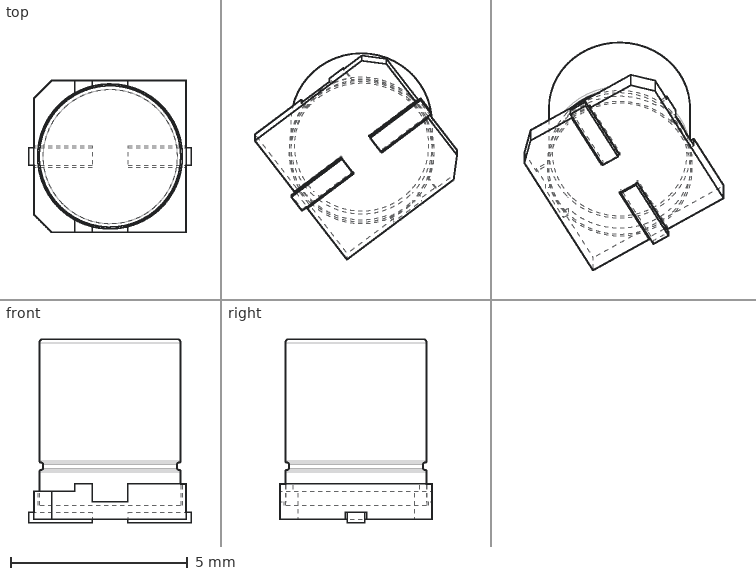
import cadquery as cq

base_side = 4.3
base_bottom = 0.1
base_top = 1.1
corner_chamfer = 0.5
low_ledge_top = 0.9
low_ledge_edge_x = -1.0
notch_width = 1.0
notch_floor = 0.6
seat_clearance = 0.05
seat_floor = 0.5

can_radius = 2.0
can_top = 5.2
top_round = 0.1
groove_round = 0.05
groove_mid_z = 1.6
groove_waist_height = 0.1

terminal_span = 4.6
terminal_gap = 1.0
terminal_width = 0.5
terminal_height = 0.3
terminal_clearance = 0.05


def box_between(x_range, y_range, z_range):
    """Axis-aligned box given by its (low, high) limits along each axis."""
    low, high = zip(x_range, y_range, z_range)
    size = [b - a for a, b in zip(low, high)]
    return cq.Workplane("XY").box(*size, centered=False).translate(low)


def make_base():
    """Square base with two cut corners, a low ledge, edge notches and a round seat for the can."""
    half = base_side / 2
    base = (
        cq.Workplane("XY")
        .workplane(offset=base_bottom)
        .rect(base_side, base_side)
        .extrude(base_top - base_bottom)
        .edges("|Z and <X")
        .chamfer(corner_chamfer)
    )
    ledge_space = box_between((-half, low_ledge_edge_x), (-half, half), (low_ledge_top, base_top))
    notch = box_between((-notch_width / 2, notch_width / 2), (-half, half), (notch_floor, base_top))
    seat = (
        cq.Workplane("XY")
        .workplane(offset=seat_floor)
        .circle(can_radius + seat_clearance)
        .extrude(base_top - seat_floor)
    )
    return base.cut(ledge_space).cut(notch).cut(seat)


def make_can():
    """Revolved can with a rounded top rim and a crimp groove blended by S-shaped shoulders."""
    lip_radius = can_radius - groove_round
    waist_radius = lip_radius - groove_round
    waist_top = groove_mid_z + groove_waist_height / 2
    waist_bottom = groove_mid_z - groove_waist_height / 2
    shoulder = 2 * groove_round
    profile = (
        cq.Workplane("XZ")
        .moveTo(0, seat_floor)
        .lineTo(can_radius, seat_floor)
        .lineTo(can_radius, waist_bottom - shoulder)
        .tangentArcPoint((lip_radius, waist_bottom - groove_round), relative=False)
        .tangentArcPoint((waist_radius, waist_bottom), relative=False)
        .lineTo(waist_radius, waist_top)
        .tangentArcPoint((lip_radius, waist_top + groove_round), relative=False)
        .tangentArcPoint((can_radius, waist_top + shoulder), relative=False)
        .lineTo(can_radius, can_top - top_round)
        .tangentArcPoint((can_radius - top_round, can_top), relative=False)
        .lineTo(0, can_top)
        .close()
    )
    return profile.revolve(360, (0, 0, 0), (0, 1, 0))


def add_terminal(body, side):
    """Cut a terminal slot under the base on one X side (side is -1 or 1) and fill it with its terminal."""
    inner = side * terminal_gap / 2
    outer = side * terminal_span / 2
    x_range = sorted((inner, outer))
    slot_half = terminal_width / 2 + terminal_clearance
    terminal_half = terminal_width / 2
    slot = box_between(x_range, (-slot_half, slot_half), (base_bottom, terminal_height))
    terminal = box_between(x_range, (-terminal_half, terminal_half), (0, terminal_height))
    return body.cut(slot).union(terminal)


result = make_base().union(make_can())
for terminal_side in (-1, 1):
    result = add_terminal(result, terminal_side)